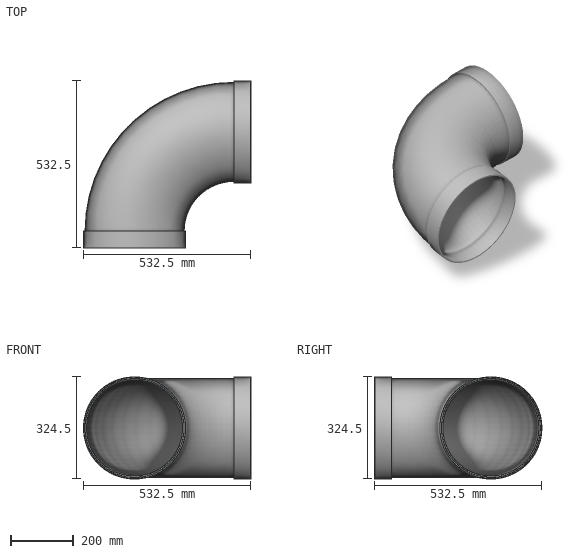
import cadquery as cq

overall_size = 532.5
collar_diameter = 324.5
pipe_diameter = 315.0
bore_diameter = 305.5
collar_length = 54.5
bend_angle = 90

axis_offset = overall_size / 2 - collar_diameter / 2
bend_radius = overall_size - collar_diameter / 2 - collar_length
bend_center = overall_size / 2 - collar_length

cone_length = (pipe_diameter - bore_diameter) / 2
socket_depth = collar_length - cone_length

inlet = cq.Plane(origin=(-axis_offset, -bend_center, 0), xDir=(1, 0, 0), normal=(0, -1, 0))
outlet = cq.Plane(origin=(bend_center, axis_offset, 0), xDir=(0, 1, 0), normal=(1, 0, 0))


def elbow(diameter):
    """Solid quarter bend about a vertical axis at the inner corner."""
    return (
        cq.Workplane(inlet)
        .circle(diameter / 2)
        .revolve(bend_angle, (bend_radius, 0), (bend_radius, -1))
    )


def end_cylinder(end, diameter, start, length):
    """Cylinder running outward from a bend end, beginning at start."""
    return cq.Workplane(end).workplane(offset=start).circle(diameter / 2).extrude(length)


def end_cone(end):
    """Cone widening outward from the bore at a bend end to the socket."""
    return (
        cq.Workplane(end)
        .circle(bore_diameter / 2)
        .workplane(offset=cone_length)
        .circle(pipe_diameter / 2)
        .loft(ruled=True)
    )


body = elbow(pipe_diameter)
for end in (inlet, outlet):
    body = body.union(end_cylinder(end, collar_diameter, 0, collar_length))

body = body.cut(elbow(bore_diameter))
for end in (inlet, outlet):
    body = body.cut(end_cone(end))
    body = body.cut(end_cylinder(end, pipe_diameter, cone_length, socket_depth))

result = body